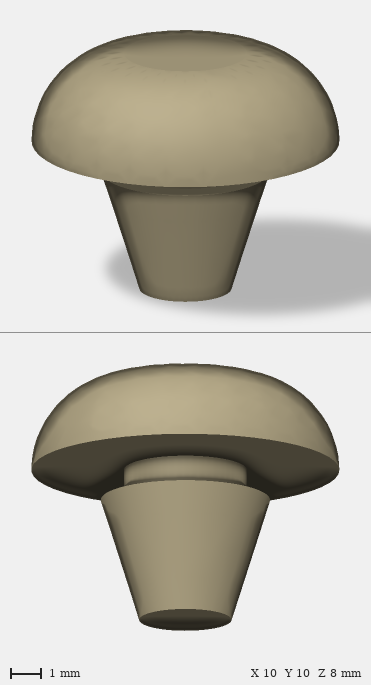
import cadquery as cq
import math

cap_radius = 5.0
cap_height = 3.0
neck_radius = 2.0
neck_height = 1.0
plug_height = 4.0
plug_tip_radius = 1.5
plug_shoulder_radius = 2.75

shoulder_z = plug_height
cap_base_z = shoulder_z + neck_height
cap_top_z = cap_base_z + cap_height

cap_flat_radius = cap_radius - cap_height
arc_reach = cap_height * math.cos(math.radians(45))
arc_middle = (cap_flat_radius + arc_reach, cap_base_z + arc_reach)

half_section = (
    cq.Workplane("XZ")
    .moveTo(0, 0)
    .lineTo(plug_tip_radius, 0)
    .lineTo(plug_shoulder_radius, shoulder_z)
    .lineTo(neck_radius, shoulder_z)
    .lineTo(neck_radius, cap_base_z)
    .lineTo(cap_radius, cap_base_z)
    .threePointArc(arc_middle, (cap_flat_radius, cap_top_z))
    .lineTo(0, cap_top_z)
    .close()
)

result = half_section.revolve(360, (0, 0, 0), (0, 1, 0))